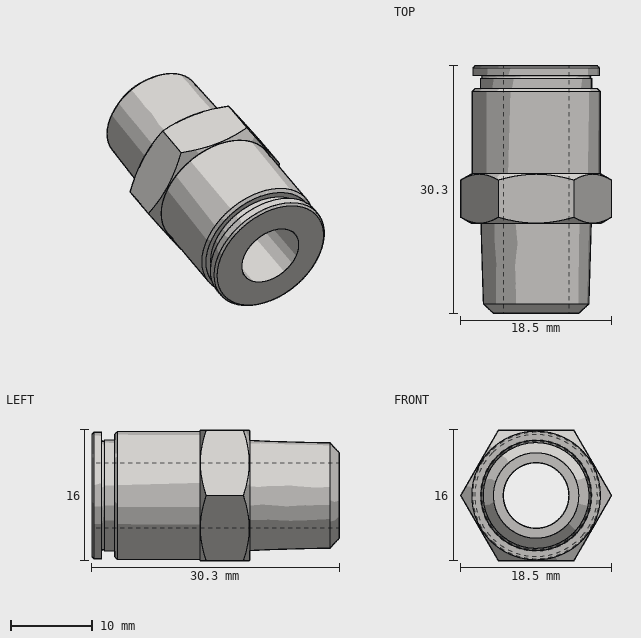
import cadquery as cq
import math

total_length = 30.3
bore_diameter = 8.0

stub_tip_diameter = 10.45
stub_small_diameter = 12.95
stub_large_diameter = 13.5
stub_chamfer_length = 1.15

hex_start = 10.97
hex_end = 17.1
hex_across_flats = 16.0
hex_across_corners = hex_across_flats / math.cos(math.pi / 6)
hex_face_diameter = 15.75
hex_chamfer_angle = 30.0

sleeve_diameter = 15.7
sleeve_end = 27.5
sleeve_chamfer = 0.35
neck_diameter = 13.65
collar_diameter = 15.5
collar_start = 29.1
groove_width = 0.35
groove_depth = 0.18
collar_chamfer = 0.27


def revolve_about_y(points):
    """Revolve a closed (radius, Y) outline about the Y axis."""
    return cq.Workplane("XY").polyline(points).close().revolve(360, (0, 0, 0), (0, 1, 0))


def cylinder(diameter, start, end):
    """Cylinder along Y between two positions."""
    plane = cq.Workplane("XZ", origin=(0, start, 0))
    return plane.circle(diameter / 2).extrude(start - end)


def make_stub():
    """Tapered stub with a chamfered tip."""
    return revolve_about_y([
        (0, 0),
        (stub_tip_diameter / 2, 0),
        (stub_small_diameter / 2, stub_chamfer_length),
        (stub_large_diameter / 2, hex_start),
        (0, hex_start),
    ])


def make_hex():
    """Hexagon with corners on X, trimmed by a cone at both ends."""
    prism = (
        cq.Workplane("XZ", origin=(0, hex_start, 0))
        .polygon(6, hex_across_corners)
        .extrude(hex_start - hex_end)
    )
    face_radius = hex_face_diameter / 2
    corner_radius = hex_across_corners / 2
    corner_drop = (corner_radius - face_radius) * math.tan(math.radians(hex_chamfer_angle))
    envelope = revolve_about_y([
        (0, hex_start),
        (face_radius, hex_start),
        (corner_radius, hex_start + corner_drop),
        (corner_radius, hex_end - corner_drop),
        (face_radius, hex_end),
        (0, hex_end),
    ])
    return prism.intersect(envelope)


def make_sleeve():
    """Sleeve, neck and collar in one turned outline, with a rounded groove in the neck below the collar."""
    sleeve_radius = sleeve_diameter / 2
    neck_radius = neck_diameter / 2
    collar_radius = collar_diameter / 2
    groove_start = collar_start - groove_width
    groove_middle = collar_start - groove_width / 2
    return (
        cq.Workplane("XY")
        .moveTo(0, hex_end)
        .lineTo(sleeve_radius, hex_end)
        .lineTo(sleeve_radius, sleeve_end - sleeve_chamfer)
        .lineTo(sleeve_radius - sleeve_chamfer, sleeve_end)
        .lineTo(neck_radius, sleeve_end)
        .lineTo(neck_radius, groove_start)
        .threePointArc((neck_radius - groove_depth, groove_middle), (neck_radius, collar_start))
        .lineTo(collar_radius, collar_start)
        .lineTo(collar_radius, total_length - collar_chamfer)
        .lineTo(collar_radius - collar_chamfer, total_length)
        .lineTo(0, total_length)
        .close()
        .revolve(360, (0, 0, 0), (0, 1, 0))
    )


body = make_stub().union(make_hex()).union(make_sleeve())
result = body.cut(cylinder(bore_diameter, 0, total_length))